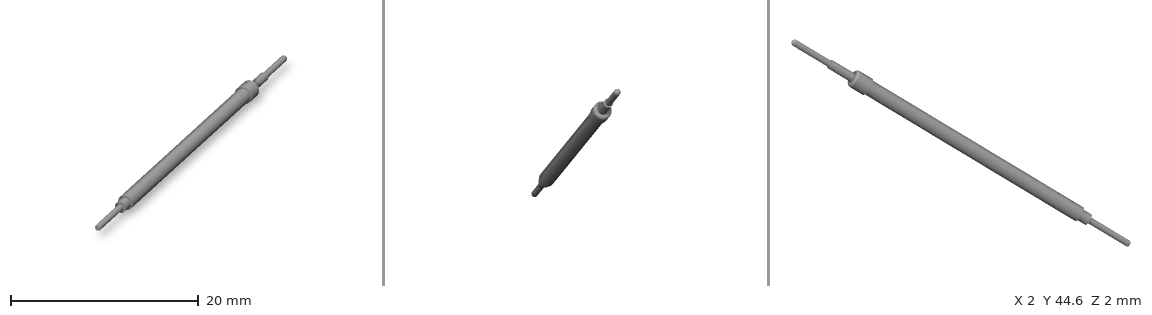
import cadquery as cq
import math

total_length = 44.6
rear_end = total_length / 2
front_end = -total_length / 2

rear_pin_diameter = 0.72
rear_pin_length = 5.0
rear_dome_height = 0.3
shank_diameter = 1.0
shank_length = 3.0

barrel_diameter = 1.7
barrel_length = 30.0
collar_diameter = 2.0
collar_length = 2.0
collar_bevel_length = 0.2

neck_diameter = 1.3
neck_length = 1.2
front_pin_diameter = 0.7
front_tip_diameter = 0.6
front_tip_length = 0.15

dimple_count = 2
dimple_diameter = 0.3
dimple_depth = 0.15
dimple_spacing = 1.8
dimple_inset = 1.5

shank_rear = rear_end - rear_pin_length
barrel_rear = shank_rear - shank_length
barrel_front = barrel_rear - barrel_length
neck_front = barrel_front - neck_length


def dome_midpoint():
    """Middle of the arc from the apex of the rear dome to its rim, in the XY plane."""
    base_radius = rear_pin_diameter / 2
    sphere_radius = (base_radius**2 + rear_dome_height**2) / (2 * rear_dome_height)
    half_angle = math.atan2(rear_dome_height, base_radius)
    centre_y = rear_end - sphere_radius
    return sphere_radius * math.sin(half_angle), centre_y + sphere_radius * math.cos(half_angle)


def make_turned_body():
    """Revolve the half profile about the Y axis."""
    rear_pin_radius = rear_pin_diameter / 2
    shank_radius = shank_diameter / 2
    barrel_radius = barrel_diameter / 2
    collar_radius = collar_diameter / 2
    neck_radius = neck_diameter / 2
    front_pin_radius = front_pin_diameter / 2
    steps = [
        (rear_pin_radius, shank_rear),
        (shank_radius, shank_rear),
        (shank_radius, barrel_rear),
        (barrel_radius, barrel_rear),
        (collar_radius, barrel_rear - collar_bevel_length),
        (collar_radius, barrel_rear - collar_length),
        (barrel_radius, barrel_rear - collar_length),
        (barrel_radius, barrel_front),
        (neck_radius, barrel_front),
        (neck_radius, neck_front),
        (front_pin_radius, neck_front),
        (front_pin_radius, front_end + front_tip_length),
        (front_tip_diameter / 2, front_end),
        (0, front_end),
    ]
    profile = (
        cq.Workplane("XY")
        .moveTo(0, rear_end)
        .threePointArc(
            dome_midpoint(),
            (rear_pin_radius, rear_end - rear_dome_height),
        )
    )
    for point in steps:
        profile = profile.lineTo(*point)
    return profile.close().revolve(360, (0, 0), (0, 1))


def make_dimple(y):
    """Blind round cutter entering the -X side of the barrel at the given Y."""
    floor_x = -barrel_diameter / 2 + dimple_depth
    return (
        cq.Workplane("YZ", origin=(floor_x, y, 0))
        .circle(dimple_diameter / 2)
        .extrude(-barrel_diameter / 2)
    )


result = make_turned_body()
for index in range(dimple_count):
    dimple_y = barrel_front + dimple_inset + index * dimple_spacing
    result = result.cut(make_dimple(dimple_y))